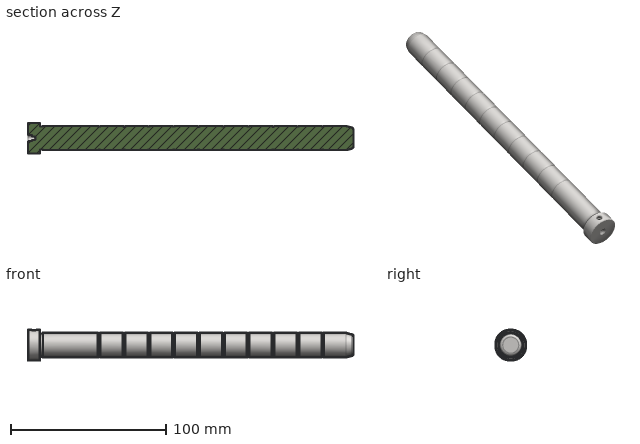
import cadquery as cq
import math

LENGTH = 210.0
HEAD_DIAMETER = 20.0
HEAD_LENGTH = 8.0
SHAFT_DIAMETER = 16.0
SHAFT_RADIUS = SHAFT_DIAMETER / 2

RELIEF_LENGTH = 1.7
RELIEF_DEPTH = 0.5

GROOVE_COUNT = 10
FIRST_GROOVE_X = 46.0
LAST_GROOVE_X = 190.0
GROOVE_PITCH = (LAST_GROOVE_X - FIRST_GROOVE_X) / (GROOVE_COUNT - 1)
GROOVE_WIDTH = 1.9
GROOVE_DEPTH = 0.52

NOSE_LENGTH = 5.0
TAPER_ANGLE = 15.0
NOSE_ROUNDING = 1.9

HEAD_BEVEL = 0.38

COUNTERSINK_DIAMETER = 4.8
OIL_BORE_DIAMETER = 3.5
OIL_BORE_DEPTH = 2.5
OIL_PASSAGE_DIAMETER = 1.9
COUNTERSINK_DEPTH = (COUNTERSINK_DIAMETER - OIL_BORE_DIAMETER) / 2


def revolved_pin():
    """Solid of revolution with head, relief, shaft and tapered nose."""
    nose_start = LENGTH - NOSE_LENGTH
    tip_radius = SHAFT_RADIUS - NOSE_LENGTH * math.tan(math.radians(TAPER_ANGLE))
    relief_radius = SHAFT_RADIUS - RELIEF_DEPTH
    relief_end = HEAD_LENGTH + RELIEF_LENGTH
    profile = (
        cq.Workplane("XY")
        .moveTo(0, 0)
        .lineTo(0, HEAD_DIAMETER / 2 - HEAD_BEVEL)
        .lineTo(HEAD_BEVEL, HEAD_DIAMETER / 2)
        .lineTo(HEAD_LENGTH - HEAD_BEVEL, HEAD_DIAMETER / 2)
        .lineTo(HEAD_LENGTH, HEAD_DIAMETER / 2 - HEAD_BEVEL)
        .lineTo(HEAD_LENGTH, relief_radius)
        .lineTo(relief_end, relief_radius)
        .lineTo(relief_end, SHAFT_RADIUS)
        .lineTo(nose_start, SHAFT_RADIUS)
        .lineTo(LENGTH, tip_radius)
        .lineTo(LENGTH, 0)
        .close()
    )
    pin = profile.revolve(360, (0, 0, 0), (1, 0, 0))
    return pin.faces(">X").edges().fillet(NOSE_ROUNDING)


def ring_groove(x_center):
    """V-shaped ring that cuts one groove."""
    half_width = GROOVE_WIDTH / 2
    return (
        cq.Workplane("XY")
        .moveTo(x_center - half_width, SHAFT_RADIUS)
        .lineTo(x_center, SHAFT_RADIUS - GROOVE_DEPTH)
        .lineTo(x_center + half_width, SHAFT_RADIUS)
        .close()
        .revolve(360, (0, 0, 0), (1, 0, 0))
    )


def oil_hole(mouth, depth):
    """Countersunk bore with a narrower passage; the mouth plane faces into the pin."""
    passage = cq.Workplane(mouth).circle(OIL_PASSAGE_DIAMETER / 2).extrude(depth)
    bore = cq.Workplane(mouth).circle(OIL_BORE_DIAMETER / 2).extrude(OIL_BORE_DEPTH)
    countersink = (
        cq.Workplane(mouth)
        .circle(COUNTERSINK_DIAMETER / 2)
        .workplane(offset=COUNTERSINK_DEPTH)
        .circle(OIL_BORE_DIAMETER / 2)
        .loft()
    )
    return passage.union(bore).union(countersink)


result = revolved_pin()
for index in range(GROOVE_COUNT):
    result = result.cut(ring_groove(FIRST_GROOVE_X + index * GROOVE_PITCH))

side_mouth = cq.Plane(
    origin=(HEAD_LENGTH / 2, 0, HEAD_DIAMETER / 2), xDir=(1, 0, 0), normal=(0, 0, -1)
)
face_mouth = cq.Plane(origin=(0, 0, 0), xDir=(0, 1, 0), normal=(1, 0, 0))
result = result.cut(oil_hole(side_mouth, HEAD_DIAMETER / 2))
result = result.cut(oil_hole(face_mouth, HEAD_LENGTH / 2))